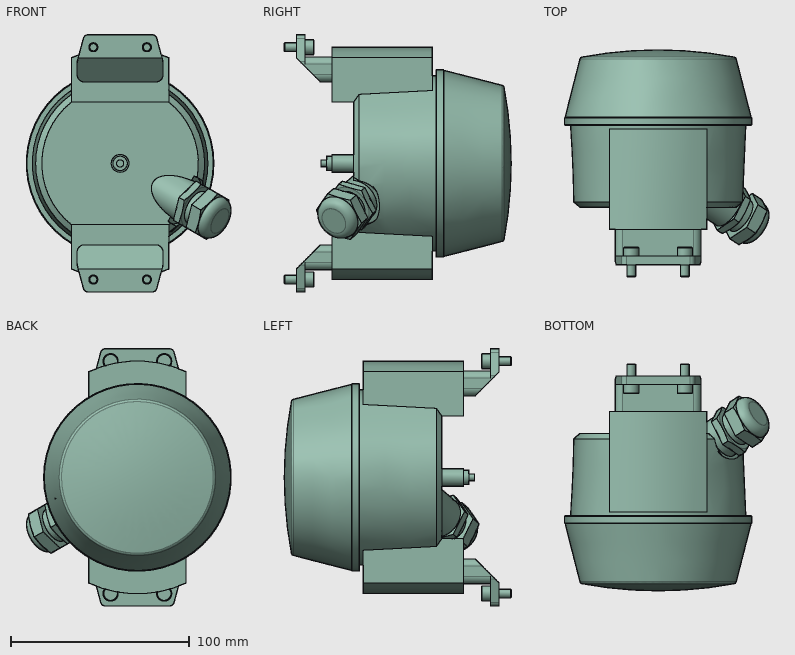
import cadquery as cq
import math

face_radius = 43.8
face_chamfer_depth = 3.0
wall_front_radius = 47.2
wall_rear_radius = 49.1
flange_radius = 105.0 / 2
flange_front_y = 46.0
flange_rear_y = 50.5
flange_chamfer = 0.5
lid_edge_radius = 43.5
lid_edge_y = 84.0
lid_edge_fillet = 1.7
dome_top_y = 88.1

block_half_width = 27.2
block_inner_z = 34.3
block_outer_radius = 65.1
block_front_y = -12.2
block_rear_y = 43.9

foot_half_width = 24.0
foot_inner_z = 45.5
foot_outer_z = 59.6
foot_corner_radius = 4.2
plate_rear_y = -27.2
plate_front_y = -32.1
plate_end_z = 72.0
plate_end_half_width = 20.0
plate_corner_radius = 2.9
plate_taper = math.radians(15)
bevel_start_y = -18.6

screw_x = 15.0
screw_z = 65.0
screw_diameter = 5.0
screw_tip_diameter = 4.0
screw_tip_y = -38.9
head_diameter = 8.5
head_rear_y = -22.2
head_chamfer = 0.5

pin_steps = [(10.0, block_front_y), (8.0, -15.1), (4.0, -18.5)]

gland_turn = 30
gland_lean = 30
gland_hit_radius = 45.2
boss_diameter = 24.0
boss_root = -28.8
hex_flats = 25.3
hex_half_side_angle = 30
nut_face_diameter = 25.0
nut_cone_angle = math.radians(15)
lock_nut_start = 0.1
lock_nut_length = 4.5
neck_diameter = 20.0
cap_nut_start = 9.6
cap_nut_length = 7.3
cap_end = 22.2
cap_fillet = 4.9
seat_diameter = 29.7
seat_floor = -5.0


def cylinder_along_y(diameter, y_start, y_end, x=0, z=0):
    plane = cq.Plane(origin=(x, y_start, z), xDir=(1, 0, 0), normal=(0, 1, 0))
    return cq.Workplane(plane).circle(diameter / 2).extrude(y_end - y_start)


def make_housing():
    sagitta = dome_top_y - lid_edge_y
    dome_radius = (lid_edge_radius**2 + sagitta**2) / (2 * sagitta)
    arc_mid_x = lid_edge_radius / 2
    arc_mid_y = dome_top_y - dome_radius + math.sqrt(dome_radius**2 - arc_mid_x**2)
    profile = (
        cq.Workplane("XY")
        .lineTo(face_radius, 0)
        .lineTo(wall_front_radius, face_chamfer_depth)
        .lineTo(wall_rear_radius, flange_front_y)
        .lineTo(flange_radius - flange_chamfer, flange_front_y)
        .lineTo(flange_radius, flange_front_y + flange_chamfer)
        .lineTo(flange_radius, flange_rear_y - flange_chamfer)
        .lineTo(flange_radius - flange_chamfer, flange_rear_y)
        .lineTo(lid_edge_radius, lid_edge_y)
        .threePointArc((arc_mid_x, arc_mid_y), (0, dome_top_y))
        .close()
    )
    housing = profile.revolve(360, (0, 0, 0), (0, 1, 0))
    margin = 0.1
    edge_band = cq.selectors.BoxSelector(
        (-flange_radius, lid_edge_y - margin, -flange_radius),
        (flange_radius, lid_edge_y + margin, flange_radius),
        boundingbox=True,
    )
    return housing.edges(edge_band).fillet(lid_edge_fillet)


def make_block():
    side_z = math.sqrt(block_outer_radius**2 - block_half_width**2)
    return (
        cq.Workplane("XZ", origin=(0, block_rear_y, 0))
        .moveTo(-block_half_width, block_inner_z)
        .lineTo(block_half_width, block_inner_z)
        .lineTo(block_half_width, side_z)
        .threePointArc((0, block_outer_radius), (-block_half_width, side_z))
        .close()
        .extrude(block_rear_y - block_front_y)
    )


def make_foot():
    shank = (
        cq.Workplane("XZ", origin=(0, block_front_y, (foot_inner_z + foot_outer_z) / 2))
        .rect(2 * foot_half_width, foot_outer_z - foot_inner_z)
        .extrude(block_front_y - plate_rear_y)
        .edges("|Y")
        .fillet(foot_corner_radius)
    )
    taper_start_z = plate_end_z - (foot_half_width - plate_end_half_width) / math.tan(plate_taper)
    plate = (
        cq.Workplane("XZ", origin=(0, plate_rear_y, 0))
        .moveTo(-foot_half_width, foot_inner_z)
        .lineTo(foot_half_width, foot_inner_z)
        .lineTo(foot_half_width, taper_start_z)
        .lineTo(plate_end_half_width, plate_end_z)
        .lineTo(-plate_end_half_width, plate_end_z)
        .lineTo(-foot_half_width, taper_start_z)
        .close()
        .extrude(plate_rear_y - plate_front_y)
    )
    plate = plate.edges("|Y and >Z").fillet(plate_corner_radius)
    bevel_size = bevel_start_y - plate_front_y
    bevel = (
        cq.Workplane("YZ", origin=(-foot_half_width, 0, 0))
        .moveTo(bevel_start_y, foot_inner_z)
        .lineTo(plate_front_y, foot_inner_z + bevel_size)
        .lineTo(plate_front_y, foot_inner_z)
        .close()
        .extrude(2 * foot_half_width)
    )
    return shank.union(plate).cut(bevel)


def make_screw(x):
    tip_chamfer = (screw_diameter - screw_tip_diameter) / 2
    shaft = cylinder_along_y(screw_diameter, screw_tip_y, plate_rear_y, x, screw_z)
    shaft = shaft.faces("<Y").chamfer(tip_chamfer)
    head = cylinder_along_y(head_diameter, plate_rear_y, head_rear_y, x, screw_z)
    head = head.faces(">Y").chamfer(head_chamfer)
    return shaft.union(head)


def make_mount():
    mount = make_block().union(make_foot())
    for x in (-screw_x, screw_x):
        mount = mount.union(make_screw(x))
    return mount


def make_pin():
    pin = cq.Workplane("XY")
    for diameter, front_y in pin_steps:
        pin = pin.union(cylinder_along_y(diameter, front_y, 0))
    return pin


def gland_section(start):
    """Workplane square to the gland axis, at a distance from the point where it meets the face."""
    turn = math.radians(gland_turn)
    lean = math.radians(gland_lean)
    axis = cq.Vector(
        math.cos(lean) * math.cos(turn),
        -math.sin(lean),
        -math.cos(lean) * math.sin(turn),
    )
    across = cq.Vector(math.sin(turn), 0, math.cos(turn))
    face_point = cq.Vector(math.cos(turn), 0, -math.sin(turn)) * gland_hit_radius
    return cq.Workplane(cq.Plane(face_point + axis * start, across, axis))


def gland_cylinder(diameter, start, end):
    return gland_section(start).circle(diameter / 2).extrude(end - start)


def gland_nut(start, length):
    """Hexagon with its outer corners cut back by a shallow cone."""
    corner_diameter = hex_flats / math.cos(math.radians(hex_half_side_angle))
    section = gland_section(start).transformed(rotate=(0, 0, hex_half_side_angle))
    hexagon = section.polygon(6, corner_diameter).extrude(length)
    cone_base_radius = nut_face_diameter / 2 + length / math.tan(nut_cone_angle)
    plane = section.plane
    cone = cq.Solid.makeCone(cone_base_radius, nut_face_diameter / 2, length, plane.origin, plane.zDir)
    return hexagon.intersect(cq.Workplane(cone))


def make_gland():
    boss = gland_cylinder(boss_diameter, boss_root, lock_nut_start)
    neck = gland_cylinder(neck_diameter, lock_nut_start, cap_nut_start)
    cap = gland_cylinder(nut_face_diameter, cap_nut_start, cap_end)
    cap_rim = cq.selectors.NearestToPointSelector(gland_section(cap_end).val().toTuple())
    cap = cap.faces(cap_rim).edges().fillet(cap_fillet)
    return (
        boss.union(neck)
        .union(cap)
        .union(gland_nut(lock_nut_start, lock_nut_length))
        .union(gland_nut(cap_nut_start, cap_nut_length))
    )


housing = make_housing().cut(gland_cylinder(seat_diameter, seat_floor, cap_end))

upper_mount = make_mount()
lower_mount = upper_mount.mirror("XY")

result = (
    housing.union(upper_mount)
    .union(lower_mount)
    .union(make_pin())
    .union(make_gland())
)